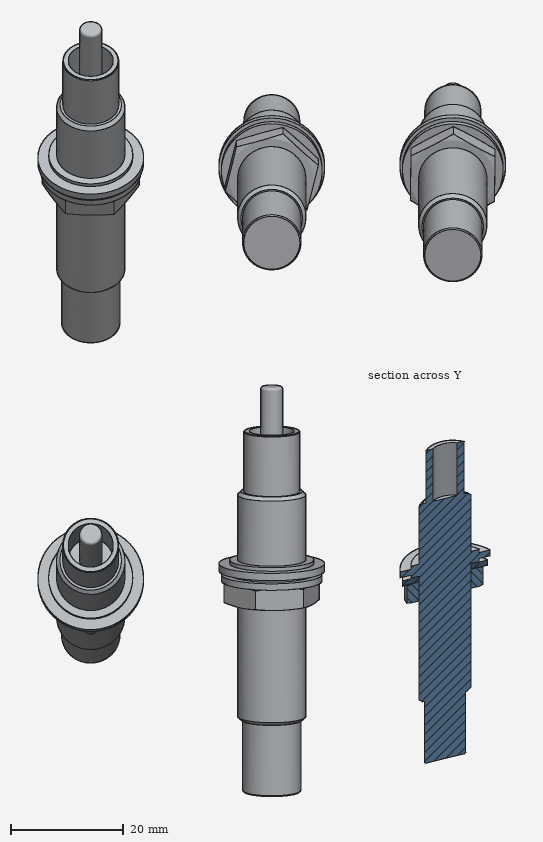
import cadquery as cq
import math

total_length = 73.4

pin_diameter = 4.0
pin_tip_radius = 0.5

barrel_diameter = 10.4
barrel_end_chamfer = 0.2
sleeve_diameter = 12.2
sleeve_end_diameter = 10.9
sleeve_chamfer = (sleeve_diameter - sleeve_end_diameter) / 2
sleeve_bottom = 13.0
sleeve_top = 54.4
cup_diameter = 10.0
cup_bore_diameter = 8.0
cup_top = 65.3
cup_rim_chamfer = 0.15
cup_floor = sleeve_top
pin_seat_depth = pin_diameter

collar_diameter = 15.0
collar_height = 0.65
flange_diameter = 18.9
flange_thickness = 1.3

nut_bottom = 34.2
nut_height = 4.0
nut_across_flats = 15.0
nut_chamfer_diameter = nut_across_flats
nut_chamfer_angle = 15.0
washer_diameter = 18.0
washer_thickness = 1.2

nut_top = nut_bottom + nut_height
washer_top = nut_top + washer_thickness
flange_bottom = washer_top + collar_height
pin_bottom = cup_floor - pin_seat_depth


def cylinder(diameter, bottom, top):
    """Cylinder on the Z axis between two heights."""
    return cq.Workplane("XY").workplane(offset=bottom).circle(diameter / 2).extrude(top - bottom)


def make_housing():
    """Barrel, sleeve, flange and cup in one piece, with a blind seat for the pin."""
    barrel = cylinder(barrel_diameter, 0, sleeve_bottom).faces("<Z").chamfer(barrel_end_chamfer)
    sleeve = cylinder(sleeve_diameter, sleeve_bottom, sleeve_top)
    sleeve = sleeve.faces("<Z or >Z").chamfer(sleeve_chamfer)
    collar_top = flange_bottom + flange_thickness + collar_height
    collar = cylinder(collar_diameter, washer_top, collar_top)
    flange = cylinder(flange_diameter, flange_bottom, flange_bottom + flange_thickness)
    cup = cylinder(cup_diameter, sleeve_top, cup_top).faces(">Z").chamfer(cup_rim_chamfer)
    outside = barrel.union(sleeve).union(collar).union(flange).union(cup)
    bore = cylinder(cup_bore_diameter, cup_floor, cup_top)
    pin_seat = cylinder(pin_diameter, pin_bottom, cup_floor)
    return outside.cut(bore).cut(pin_seat)


def make_pin():
    """Round contact pin with a rounded tip."""
    return cylinder(pin_diameter, pin_bottom, total_length).faces(">Z").fillet(pin_tip_radius)


def make_washer():
    """Flat washer between the nut and the flange collar."""
    return cylinder(washer_diameter, nut_top, washer_top).cut(
        cylinder(sleeve_diameter, nut_top, washer_top)
    )


def make_nut():
    """Hexagon nut with flats facing X and conical chamfers on its corners."""
    across_corners = nut_across_flats / math.cos(math.pi / 6)
    hexagon = (
        cq.Workplane("XY").workplane(offset=nut_bottom)
        .transformed(rotate=(0, 0, 30))
        .polygon(6, across_corners)
        .extrude(nut_height)
    )
    chamfer_width = (across_corners - nut_chamfer_diameter) / 2
    chamfer_height = chamfer_width * math.tan(math.radians(nut_chamfer_angle))
    envelope = (
        cq.Workplane("XZ")
        .moveTo(0, nut_bottom)
        .lineTo(nut_chamfer_diameter / 2, nut_bottom)
        .lineTo(across_corners / 2, nut_bottom + chamfer_height)
        .lineTo(across_corners / 2, nut_top - chamfer_height)
        .lineTo(nut_chamfer_diameter / 2, nut_top)
        .lineTo(0, nut_top)
        .close()
        .revolve(360, (0, 0, 0), (0, 1, 0))
    )
    return hexagon.intersect(envelope).cut(cylinder(sleeve_diameter, nut_bottom, nut_top))


housing = make_housing()
pin = make_pin()
washer = make_washer()
nut = make_nut()

result = cq.Compound.makeCompound([housing.val(), pin.val(), washer.val(), nut.val()])